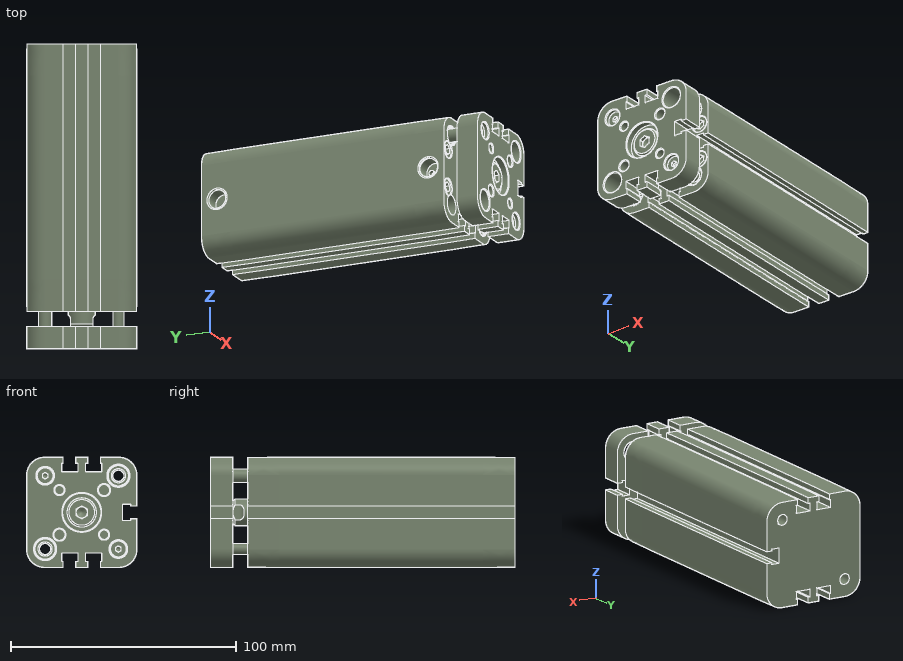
import cadquery as cq
import math


WIDTH = 49.0
HALF_WIDTH = WIDTH / 2
CORNER_RADIUS = 8.0
PLATE_THICKNESS = 10.0
TOTAL_LENGTH = 135.2
GAP = 6.5
BODY_START = PLATE_THICKNESS + GAP
BODY_LENGTH = TOTAL_LENGTH - BODY_START
CAP_LENGTH = 14.2
TUBE_LENGTH = BODY_LENGTH - 2 * CAP_LENGTH
CAP_TAPER = 0.5
CAP_INSET = CAP_LENGTH * math.tan(math.radians(CAP_TAPER))

SLOT_OFFSET = 5.5
SLOT_MOUTH_INNER = 2.75
SLOT_MOUTH_OUTER = 2 * SLOT_OFFSET - SLOT_MOUTH_INNER
SLOT_INNER = 1.75
SLOT_OUTER = 8.8
SLOT_LIP = 2.8
SLOT_DEPTH = 6.4
SIDE_MOUTH_HALF = (SLOT_MOUTH_OUTER - SLOT_MOUTH_INNER) / 2
SIDE_SLOT_HALF = (SLOT_OUTER - SLOT_INNER) / 2

CORNER_PITCH = 32.5
CORNER = CORNER_PITCH / 2
LARGE_PIN_AXIS = (-CORNER, CORNER)
SMALL_PIN_AXIS = (CORNER, -CORNER)
PIN_AXES = [LARGE_PIN_AXIS, SMALL_PIN_AXIS]
MOUNTING_AXES = [(CORNER, CORNER), (-CORNER, -CORNER)]
LARGE_PIN_DIAMETER = 6.0
SMALL_PIN_DIAMETER = 5.0

MOUNTING_RECESS_DIAMETER = 9.0
MOUNTING_RECESS_DEPTH = 5.0
MOUNTING_HOLE_DIAMETER = 4.92
MOUNTING_HOLE_CHAMFER = 0.7
PIN_RECESS_DIAMETER = 9.0
PIN_RECESS_DEPTH = 0.6
PIN_SEAT_DIAMETER = 8.0
PIN_SEAT_DEPTH = 1.2
CLEARANCE_DIAMETER = 9.5
CLEARANCE_CHAMFER = 0.4

PIN_SCREW_BORE = 7.5
PIN_SCREW_BORE_CHAMFER = 0.4
PIN_SCREW_HEAD = 7.0
PIN_SCREW_BORE_DEPTH = 4.5
PIN_SCREW_SINK = 2.0
PIN_SCREW_HEX = 2.5
PIN_SCREW_HEX_DEPTH = 1.5

PATTERN_DIAMETER = 28.0
PATTERN = PATTERN_DIAMETER / 2 * math.sin(math.radians(45))
DOWEL_DIAMETER = 5.0
DOWEL_CHAMFER = 0.4
THREAD_DIAMETER = 4.13
THREAD_CHAMFER = 0.4

ROD_DIAMETER = 12.0
ROD_ACROSS_FLATS = 10.0
ROD_CHAMFER = 1.0
FLAT_LENGTH = 3.0
FLAT_RUNOUT_RADIUS = 2.5
ROD_SCREW_BORE = 17.0
ROD_SCREW_BORE_CHAMFER = 0.35
ROD_SCREW_HEAD = 13.0
ROD_SCREW_SINK = 2.0
ROD_SCREW_CHAMFER = 0.8
ROD_SCREW_BORE_DEPTH = 3.6
ROD_SCREW_HEX = 5.0
ROD_SCREW_HEX_DEPTH = 2.0
DRILL_POINT_HALF_ANGLE = 60.0

PORT_END_DISTANCE = 7.7
PORT_DIAMETER = 8.57
PORT_CHAMFER = 0.7
PORT_DEPTH = 8.0
AIRWAY_DIAMETER = 2.5
AIRWAY_OFFSET = 2.0
AIRWAY_DEPTH = 3.0

CAP_SCREW_X = 19.5
CAP_SCREW_Z = 8.75
CAP_SCREW_BORE = 8.0
CAP_SCREW_HEAD = 7.5
CAP_SCREW_BORE_DEPTH = 4.0
CAP_SCREW_SINK = 0.5
CAP_SCREW_HEX = 4.0
CAP_SCREW_HEX_DEPTH = 2.0


def section_plane(y):
    """Workplane across the stroke axis, local axes +X and +Z, normal -Y."""
    return cq.Workplane("XZ", origin=(0, y, 0))


def cylinder(axis, y, length, diameter):
    """Cylinder that starts at y and runs towards +Y around an (x, z) axis."""
    return section_plane(y).center(*axis).circle(diameter / 2).extrude(-length)


def cone(axis, y, length, front_diameter, back_diameter):
    """Cone that starts at y and runs towards +Y around an (x, z) axis."""
    solid = cq.Solid.makeCone(
        front_diameter / 2, back_diameter / 2, length,
        cq.Vector(axis[0], y, axis[1]), cq.Vector(0, 1, 0)
    )
    return cq.Workplane(solid)


def countersink(axis, y, diameter, size):
    """45-degree cone that breaks the -Y edge of a hole."""
    return cone(axis, y, size, diameter + 2 * size, diameter)


def hex_socket(axis, y, across_flats, depth):
    """Hexagonal socket with a conical bottom, opening towards -Y."""
    across_corners = across_flats / math.cos(math.radians(30))
    socket = (
        section_plane(y).center(*axis)
        .transformed(rotate=(0, 0, 90))
        .polygon(6, across_corners).extrude(-depth)
    )
    point_length = across_flats / 2 / math.tan(math.radians(DRILL_POINT_HALF_ANGLE))
    return socket.union(cone(axis, y + depth, point_length, across_flats, 0))


def rounded_block(y, length, taper=0):
    """Rounded square block running from y by a signed length along Y."""
    outline = cq.Sketch().rect(WIDTH, WIDTH).vertices().fillet(CORNER_RADIUS)
    return section_plane(y).placeSketch(outline).extrude(-length, taper=taper)


def make_body():
    tube_start = BODY_START + CAP_LENGTH
    tube_end = tube_start + TUBE_LENGTH
    body = rounded_block(tube_start, TUBE_LENGTH)
    body = body.union(rounded_block(tube_start, -CAP_LENGTH, CAP_TAPER))
    return body.union(rounded_block(tube_end, CAP_LENGTH, CAP_TAPER))


def sensor_slot(inner, mouth_inner, mouth_outer, outer):
    """T-slot in the +Z side, over the full length of the part."""
    lip_z = HALF_WIDTH - SLOT_LIP
    floor_z = HALF_WIDTH - SLOT_DEPTH
    outline = (
        section_plane(0)
        .moveTo(mouth_inner, lip_z).lineTo(mouth_inner, HALF_WIDTH)
        .lineTo(mouth_outer, HALF_WIDTH).lineTo(mouth_outer, lip_z)
        .lineTo(outer, lip_z).lineTo(outer, floor_z)
        .lineTo(inner, floor_z).lineTo(inner, lip_z)
        .close()
    )
    return outline.extrude(-TOTAL_LENGTH)


def make_sensor_slots():
    right = sensor_slot(SLOT_INNER, SLOT_MOUTH_INNER, SLOT_MOUTH_OUTER, SLOT_OUTER)
    upper = right.union(right.mirror("YZ"))
    side = sensor_slot(-SIDE_SLOT_HALF, -SIDE_MOUTH_HALF, SIDE_MOUTH_HALF, SIDE_SLOT_HALF)
    side = side.rotate((0, 0, 0), (0, 1, 0), 90)
    return upper.union(upper.mirror("XY")).union(side)


def cut_corner_holes(body):
    """Stepped recesses around the pins and counterbored through holes on the other diagonal."""
    for axis in PIN_AXES:
        body = body.cut(cylinder(axis, BODY_START, PIN_RECESS_DEPTH, PIN_RECESS_DIAMETER))
        body = body.cut(cylinder(axis, BODY_START, PIN_SEAT_DEPTH, PIN_SEAT_DIAMETER))
    floor = BODY_START + MOUNTING_RECESS_DEPTH
    for axis in MOUNTING_AXES:
        body = body.cut(cylinder(axis, BODY_START, MOUNTING_RECESS_DEPTH, MOUNTING_RECESS_DIAMETER))
        body = body.cut(cylinder(axis, BODY_START, BODY_LENGTH, MOUNTING_HOLE_DIAMETER))
        body = body.cut(countersink(axis, floor, MOUNTING_HOLE_DIAMETER, MOUNTING_HOLE_CHAMFER))
    return body


def cut_port(body, y, towards_middle):
    """Port with an airway set off towards the middle of the body."""
    side = cq.Workplane("YZ", origin=(-HALF_WIDTH, 0, 0))
    hole = side.center(y, 0).circle(PORT_DIAMETER / 2).extrude(PORT_DEPTH)
    airway_y = y + towards_middle * AIRWAY_OFFSET
    airway = side.center(airway_y, 0).circle(AIRWAY_DIAMETER / 2).extrude(PORT_DEPTH + AIRWAY_DEPTH)
    chamfer = cq.Solid.makeCone(
        PORT_DIAMETER / 2 + PORT_CHAMFER, PORT_DIAMETER / 2, PORT_CHAMFER,
        cq.Vector(-HALF_WIDTH + CAP_INSET / 2, y, 0), cq.Vector(1, 0, 0)
    )
    return body.cut(hole).cut(airway).cut(cq.Workplane(chamfer))


def sink_screw(part, axis, face, bore, bore_depth, head, sink, across_flats, hex_depth):
    """Counterbore the part at a -Y face and seat a socket screw in it."""
    part = part.cut(cylinder(axis, face, bore_depth, bore))
    part = part.union(cylinder(axis, face + sink, bore_depth - sink, head))
    return part.cut(hex_socket(axis, face + sink, across_flats, hex_depth))


def seat_cap_screws(body):
    for x in (-CAP_SCREW_X, CAP_SCREW_X):
        for z in (-CAP_SCREW_Z, CAP_SCREW_Z):
            body = sink_screw(
                body, (x, z), BODY_START, CAP_SCREW_BORE, CAP_SCREW_BORE_DEPTH,
                CAP_SCREW_HEAD, CAP_SCREW_SINK, CAP_SCREW_HEX, CAP_SCREW_HEX_DEPTH
            )
    return body


def make_rod():
    """Exposed piston rod with two milled flats that run out in an arc."""
    rod = cylinder((0, 0), PLATE_THICKNESS, GAP, ROD_DIAMETER)
    rod = rod.faces("<Y").chamfer(ROD_CHAMFER)
    flat_x = ROD_ACROSS_FLATS / 2
    flat_depth = ROD_DIAMETER / 2 - flat_x
    runout_length = math.sqrt(FLAT_RUNOUT_RADIUS**2 - (FLAT_RUNOUT_RADIUS - flat_depth) ** 2)
    arc_angle = math.asin(runout_length / FLAT_RUNOUT_RADIUS) / 2
    arc_middle = (
        flat_x + FLAT_RUNOUT_RADIUS * (1 - math.cos(arc_angle)),
        PLATE_THICKNESS + FLAT_LENGTH + FLAT_RUNOUT_RADIUS * math.sin(arc_angle),
    )
    runout_end = (flat_x + flat_depth, PLATE_THICKNESS + FLAT_LENGTH + runout_length)
    cutter = (
        cq.Workplane("XY")
        .moveTo(flat_x, PLATE_THICKNESS)
        .lineTo(flat_x, PLATE_THICKNESS + FLAT_LENGTH)
        .threePointArc(arc_middle, runout_end)
        .lineTo(flat_x + flat_depth, PLATE_THICKNESS)
        .close()
        .extrude(ROD_DIAMETER / 2, both=True)
    )
    return rod.cut(cutter).cut(cutter.mirror("YZ"))


def cut_plate_holes(plate):
    for axis in MOUNTING_AXES:
        plate = plate.cut(cylinder(axis, 0, PLATE_THICKNESS, CLEARANCE_DIAMETER))
        plate = plate.cut(countersink(axis, 0, CLEARANCE_DIAMETER, CLEARANCE_CHAMFER))
    for side in (-1, 1):
        dowel_axis = (side * PATTERN, side * PATTERN)
        thread_axis = (side * PATTERN, -side * PATTERN)
        plate = plate.cut(cylinder(dowel_axis, 0, PLATE_THICKNESS, DOWEL_DIAMETER))
        plate = plate.cut(countersink(dowel_axis, 0, DOWEL_DIAMETER, DOWEL_CHAMFER))
        plate = plate.cut(cylinder(thread_axis, 0, PLATE_THICKNESS, THREAD_DIAMETER))
        plate = plate.cut(countersink(thread_axis, 0, THREAD_DIAMETER, THREAD_CHAMFER))
    return plate


def chamfer_rod_screw(plate):
    """Bevel the rim of the rod screw head."""
    rim = cylinder((0, 0), ROD_SCREW_SINK, ROD_SCREW_CHAMFER, ROD_SCREW_HEAD)
    face_diameter = ROD_SCREW_HEAD - 2 * ROD_SCREW_CHAMFER
    bevel = cone((0, 0), ROD_SCREW_SINK, ROD_SCREW_CHAMFER, face_diameter, ROD_SCREW_HEAD)
    return plate.cut(rim.cut(bevel))


def seat_plate_screws(plate):
    for axis in PIN_AXES:
        plate = sink_screw(
            plate, axis, 0, PIN_SCREW_BORE, PIN_SCREW_BORE_DEPTH,
            PIN_SCREW_HEAD, PIN_SCREW_SINK, PIN_SCREW_HEX, PIN_SCREW_HEX_DEPTH
        )
        plate = plate.cut(countersink(axis, 0, PIN_SCREW_BORE, PIN_SCREW_BORE_CHAMFER))
    plate = sink_screw(
        plate, (0, 0), 0, ROD_SCREW_BORE, ROD_SCREW_BORE_DEPTH,
        ROD_SCREW_HEAD, ROD_SCREW_SINK, ROD_SCREW_HEX, ROD_SCREW_HEX_DEPTH
    )
    plate = plate.cut(countersink((0, 0), 0, ROD_SCREW_BORE, ROD_SCREW_BORE_CHAMFER))
    return chamfer_rod_screw(plate)


slots = make_sensor_slots()

body = cut_corner_holes(make_body())
body = seat_cap_screws(body).cut(slots)
body = cut_port(body, BODY_START + PORT_END_DISTANCE, 1)
body = cut_port(body, TOTAL_LENGTH - PORT_END_DISTANCE, -1)

plate = cut_plate_holes(rounded_block(0, PLATE_THICKNESS))
plate = seat_plate_screws(plate).cut(slots)

pin_length = GAP + PIN_SEAT_DEPTH
large_pin = cylinder(LARGE_PIN_AXIS, PLATE_THICKNESS, pin_length, LARGE_PIN_DIAMETER)
small_pin = cylinder(SMALL_PIN_AXIS, PLATE_THICKNESS, pin_length, SMALL_PIN_DIAMETER)

result = body.union(plate).union(make_rod()).union(large_pin).union(small_pin)